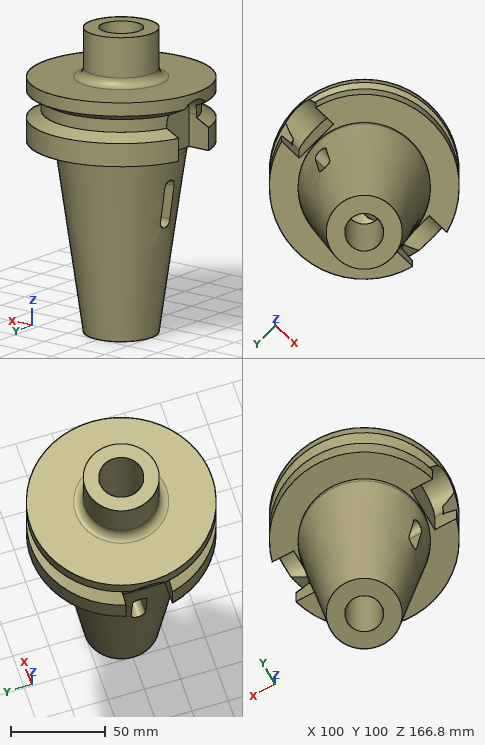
import cadquery as cq
import math

total_height = 166.8
gauge_height = 101.7
flange_bottom = 104.8
flange_top = 139.8

gauge_radius = 34.9
taper_per_length = 7 / 48
small_end_radius = gauge_radius - gauge_height * taper_per_length

flange_radius = 50.0
groove_radius = 42.4
lower_lip_height = 12.7
upper_lip_height = 7.3
groove_flank_height = 4.0
lower_lip_top = flange_bottom + lower_lip_height
upper_lip_bottom = flange_top - upper_lip_height

nose_radius = 20.0
nose_fillet = 5.0

keyway_width = 25.7
keyway_height = 31.2
keyway_floor = 35.4

socket_mouth_radius = 11.8
socket_end_radius = 10.2
socket_depth = 84.0
cross_slot_width = 8.0
cross_slot_bottom = 61.9
cross_slot_top = 88.7

rear_bore_radius = 10.2
rear_bore_shoulder = 62.2
drill_point_angle = 118.0
rear_bore_tip = rear_bore_shoulder + rear_bore_radius / math.tan(math.radians(drill_point_angle / 2))


def revolve_about_z(half_profile):
    """Close a radius-height outline drawn in XZ and turn it about the Z axis."""
    return half_profile.close().revolve(360, (0, 0, 0), (0, 1, 0))


def make_body():
    nose_corner = nose_radius + nose_fillet
    arc_offset = nose_fillet * (1 - math.sqrt(0.5))
    profile = (
        cq.Workplane("XZ")
        .lineTo(small_end_radius, 0)
        .lineTo(gauge_radius, gauge_height)
        .lineTo(gauge_radius, flange_bottom)
        .lineTo(flange_radius, flange_bottom)
        .lineTo(flange_radius, lower_lip_top)
        .lineTo(groove_radius, lower_lip_top + groove_flank_height)
        .lineTo(groove_radius, upper_lip_bottom - groove_flank_height)
        .lineTo(flange_radius, upper_lip_bottom)
        .lineTo(flange_radius, flange_top)
        .lineTo(nose_corner, flange_top)
        .threePointArc(
            (nose_radius + arc_offset, flange_top + arc_offset),
            (nose_radius, flange_top + nose_fillet),
        )
        .lineTo(nose_radius, total_height)
        .lineTo(0, total_height)
    )
    return revolve_about_z(profile)


def make_keyway(side):
    """Round-topped slot through the underside of the flange; side is +1 or -1 along X."""
    half_width = keyway_width / 2
    keyway_top = flange_bottom + keyway_height
    return (
        cq.Workplane("YZ", origin=(side * keyway_floor, 0, 0))
        .moveTo(-half_width, flange_bottom)
        .lineTo(half_width, flange_bottom)
        .lineTo(half_width, keyway_top - half_width)
        .threePointArc((0, keyway_top), (-half_width, keyway_top - half_width))
        .close()
        .extrude(side * flange_radius)
    )


def make_socket():
    socket_floor = total_height - socket_depth
    profile = (
        cq.Workplane("XZ")
        .moveTo(0, socket_floor)
        .lineTo(socket_end_radius, socket_floor)
        .lineTo(socket_mouth_radius, total_height)
        .lineTo(0, total_height)
    )
    return revolve_about_z(profile)


def make_cross_slot():
    slot_length = cross_slot_top - cross_slot_bottom
    slot_centre = (cross_slot_top + cross_slot_bottom) / 2
    return (
        cq.Workplane("YZ", origin=(0, 0, slot_centre))
        .slot2D(slot_length, cross_slot_width, 90)
        .extrude(flange_radius, both=True)
    )


def make_rear_bore():
    profile = (
        cq.Workplane("XZ")
        .lineTo(rear_bore_radius, 0)
        .lineTo(rear_bore_radius, rear_bore_shoulder)
        .lineTo(0, rear_bore_tip)
    )
    return revolve_about_z(profile)


body = make_body()
for side in (1, -1):
    body = body.cut(make_keyway(side))
body = body.cut(make_socket())
body = body.cut(make_cross_slot())
body = body.cut(make_rear_bore())

result = body